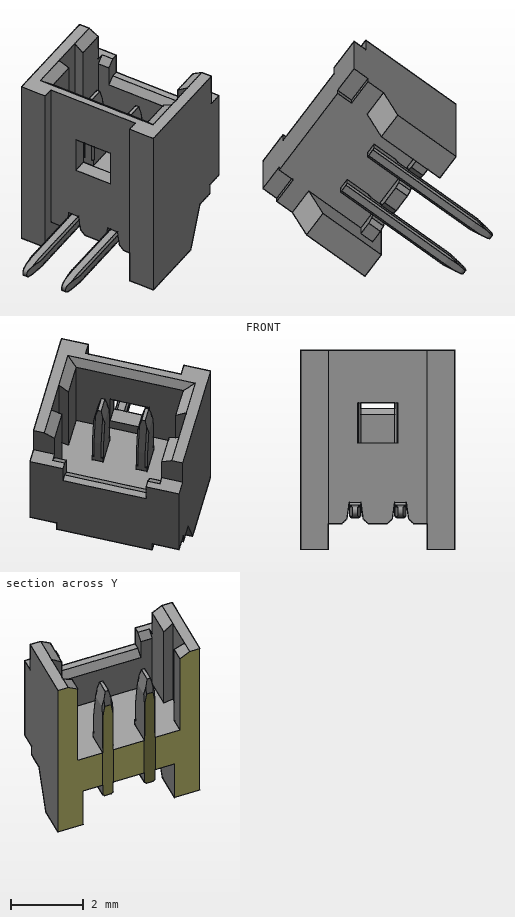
import cadquery as cq


WIDTH = 4.25
DEPTH = 3.5
OVERALL_DEPTH = 5.8
HEIGHT = 5.5
UNDERSIDE_Z = 1.3
PILLAR_WIDTH = 0.765
FRONT_RECESS = 0.3
SHOULDER_Z = 4.505
BACK_WALL = 0.4
LEG_SLOPE_TOP = 1.01
LEG_SLOPE_BOTTOM = 1.495
NOTCH_DEPTH = 0.475
NOTCH_HEIGHT = 0.32

FLOOR_Z = 2.57
CAVITY_WIDTH = 3.05
CAVITY_FRONT = 0.7
CAVITY_BACK = DEPTH - BACK_WALL
LEAD_IN_SIDE = 0.29
LEAD_IN_FRONT = 0.21
LEAD_IN_HEIGHT = 0.175
GROOVE_CENTER_Y = 1.91
GROOVE_MOUTH = 0.74
GROOVE_ROOT = 0.835
GAP_WIDTH = 2.365
GAP_Z = 3.89

WINDOW_WIDTH = 1.115
WINDOW_BOTTOM = 2.94
WINDOW_TOP = 4.05
SKIRT_Z = 0.71
SLOT_BEND_Z = 0.845
SLOT_BEND_WIDTH = 0.44
SLOT_MOUTH_WIDTH = 0.73

PITCH = 1.25
PIN_X = [-PITCH / 2, PITCH / 2]
PIN_WIDTH = 0.32
PIN_CHAMFER = 0.06
POST_FRONT = 1.085
POST_BACK = 1.825
POST_TOP = 4.83
POST_CHAMFER_Z = 2.75
POST_FRONT_TAPER_Z = 4.0
POST_BACK_TAPER_Z = 3.48
POST_TIP_FRONT = 1.21
POST_TIP_BACK = 1.62
POST_TIP_WIDTH = 0.1
POST_TIP_LENGTH = 0.52
LEG_BOTTOM = 0.87
LEG_TOP = 1.225
LEG_END = DEPTH - OVERALL_DEPTH
LEG_TIP_HEIGHT = 0.225
LEG_TIP_WIDTH = 0.13
LEG_TIP_RADIUS = 0.11
LEG_TIP_LENGTH = 0.61
BEND_RADIUS = UNDERSIDE_Z - LEG_TOP
BEND_FRONT = POST_FRONT - BEND_RADIUS


def block(x_range, y_range, z_range):
    """Axis-aligned box given by its limits."""
    size = [high - low for low, high in (x_range, y_range, z_range)]
    corner = (x_range[0], y_range[0], z_range[0])
    return cq.Workplane("XY").box(*size, centered=False).translate(corner)


def centered_prism_yz(points, width):
    """Prism of a (Y, Z) outline, centered on X = 0."""
    return cq.Workplane("YZ").polyline(points).close().extrude(width / 2, both=True)


def make_shell():
    """Solid outside shape with the feet, front recess and back corner notches."""
    side_outline = [
        (0, 0),
        (DEPTH - LEG_SLOPE_BOTTOM, 0),
        (DEPTH - LEG_SLOPE_TOP, UNDERSIDE_Z),
        (DEPTH, UNDERSIDE_Z),
        (DEPTH, SHOULDER_Z),
        (CAVITY_BACK, SHOULDER_Z),
        (CAVITY_BACK, HEIGHT),
        (0, HEIGHT),
    ]
    shell = centered_prism_yz(side_outline, WIDTH)

    half_span = WIDTH / 2 - PILLAR_WIDTH
    between_pillars = (-half_span, half_span)
    shell = shell.cut(block(between_pillars, (0, FRONT_RECESS), (0, HEIGHT)))
    shell = shell.cut(block(between_pillars, (FRONT_RECESS, CAVITY_FRONT), (0, SKIRT_Z)))
    shell = shell.cut(block(between_pillars, (CAVITY_FRONT, DEPTH), (0, UNDERSIDE_Z)))

    notch_y = (DEPTH - NOTCH_DEPTH, DEPTH)
    notch_z = (UNDERSIDE_Z, UNDERSIDE_Z + NOTCH_HEIGHT)
    for notch_x in ((-WIDTH / 2, -half_span), (half_span, WIDTH / 2)):
        shell = shell.cut(block(notch_x, notch_y, notch_z))
    return shell


def make_cavity():
    """Cavity with its lead-in along the sides and the front, and the two side grooves."""
    half = CAVITY_WIDTH / 2
    outer = half + LEAD_IN_SIDE
    cavity = block((-half, half), (CAVITY_FRONT, CAVITY_BACK), (FLOOR_Z, HEIGHT))

    lead_in_length = CAVITY_BACK - CAVITY_FRONT
    lead_in = (
        cq.Workplane("XY", origin=(0, CAVITY_BACK, HEIGHT - LEAD_IN_HEIGHT))
        .rect(2 * half, 2 * lead_in_length)
        .workplane(offset=LEAD_IN_HEIGHT)
        .rect(2 * outer, 2 * (lead_in_length + LEAD_IN_FRONT))
        .loft(ruled=True)
    )

    groove_outline = [
        (0, -GROOVE_MOUTH / 2),
        (half, -GROOVE_MOUTH / 2),
        (outer, -GROOVE_ROOT / 2),
        (outer, GROOVE_ROOT / 2),
        (half, GROOVE_MOUTH / 2),
        (0, GROOVE_MOUTH / 2),
    ]
    groove = (
        cq.Workplane("XY", origin=(0, GROOVE_CENTER_Y, FLOOR_Z))
        .polyline(groove_outline)
        .close()
        .extrude(HEIGHT - FLOOR_Z)
    )
    return cavity.union(lead_in).union(groove).union(groove.mirror("YZ"))


def make_back_gap():
    """Lowered middle of the back wall and the lead-ins along both levels of its top."""
    half_gap = GAP_WIDTH / 2
    gap = block((-half_gap, half_gap), (CAVITY_BACK, DEPTH), (GAP_Z, HEIGHT))
    for top_z, width in ((SHOULDER_Z, CAVITY_WIDTH), (GAP_Z, GAP_WIDTH)):
        lead_in_outline = [
            (CAVITY_BACK, top_z - LEAD_IN_HEIGHT),
            (CAVITY_BACK + LEAD_IN_FRONT, top_z),
            (CAVITY_BACK, top_z),
        ]
        gap = gap.union(centered_prism_yz(lead_in_outline, width))
    return gap


def make_window():
    half = WINDOW_WIDTH / 2
    return block((-half, half), (FRONT_RECESS, CAVITY_FRONT), (WINDOW_BOTTOM, WINDOW_TOP))


def make_pin_passage():
    """Post hole in the floor and flared leg slot in the front wall, around X = 0."""
    half = PIN_WIDTH / 2
    passage = block((-half, half), (POST_FRONT, POST_BACK), (UNDERSIDE_Z, FLOOR_Z))
    slot_outline = [
        (-half, UNDERSIDE_Z),
        (half, UNDERSIDE_Z),
        (SLOT_BEND_WIDTH / 2, SLOT_BEND_Z),
        (SLOT_MOUTH_WIDTH / 2, SKIRT_Z),
        (-SLOT_MOUTH_WIDTH / 2, SKIRT_Z),
        (-SLOT_BEND_WIDTH / 2, SLOT_BEND_Z),
    ]
    slot = (
        cq.Workplane("XZ", origin=(0, CAVITY_FRONT, 0))
        .polyline(slot_outline)
        .close()
        .extrude(CAVITY_FRONT - FRONT_RECESS)
    )
    return passage.union(slot)


def make_housing():
    housing = make_shell().cut(make_cavity()).cut(make_back_gap()).cut(make_window())
    for x in PIN_X:
        housing = housing.cut(make_pin_passage().translate((x, 0, 0)))
    return housing.solids()


def tip_outline(root, shoulder, tip, tip_width):
    """Half-tapered blade outline as (X, length) points."""
    half = PIN_WIDTH / 2
    return [
        (-half, root),
        (-half, shoulder),
        (-tip_width / 2, tip),
        (tip_width / 2, tip),
        (half, shoulder),
        (half, root),
    ]


def make_post():
    """Chamfered upper part of the post with its tapered tip."""
    profile = [
        (POST_FRONT, POST_CHAMFER_Z),
        (POST_FRONT, POST_FRONT_TAPER_Z),
        (POST_TIP_FRONT, POST_TOP),
        (POST_TIP_BACK, POST_TOP),
        (POST_BACK, POST_BACK_TAPER_Z),
        (POST_BACK, POST_CHAMFER_Z),
    ]
    post = centered_prism_yz(profile, PIN_WIDTH).edges("not(|X or |Y)").chamfer(PIN_CHAMFER)
    outline = tip_outline(POST_CHAMFER_Z, POST_TOP - POST_TIP_LENGTH, POST_TOP, POST_TIP_WIDTH)
    blade = cq.Workplane("XZ").polyline(outline).close().extrude(-DEPTH)
    return post.intersect(blade)


def make_leg():
    """Chamfered front part of the leg with its tapered, rounded tip."""
    taper_y = LEG_END + LEG_TIP_LENGTH
    middle_z = (LEG_BOTTOM + LEG_TOP) / 2
    profile = [
        (BEND_FRONT, LEG_BOTTOM),
        (taper_y, LEG_BOTTOM),
        (LEG_END, middle_z - LEG_TIP_HEIGHT / 2),
        (LEG_END, middle_z + LEG_TIP_HEIGHT / 2),
        (taper_y, LEG_TOP),
        (BEND_FRONT, LEG_TOP),
    ]
    leg = centered_prism_yz(profile, PIN_WIDTH).edges("not(|X or |Z)").chamfer(PIN_CHAMFER)
    outline = tip_outline(BEND_FRONT, taper_y, LEG_END, LEG_TIP_WIDTH)
    blade = cq.Workplane("XY").polyline(outline).close().extrude(HEIGHT)
    leg = leg.intersect(blade)
    return leg.faces("<Y").edges("|X").fillet(LEG_TIP_RADIUS)


def make_pin(x):
    """L-shaped pin: a plain bend joins the upright post to the forward leg."""
    bend = (
        cq.Workplane("YZ")
        .moveTo(BEND_FRONT, LEG_BOTTOM)
        .lineTo(POST_BACK, LEG_BOTTOM)
        .lineTo(POST_BACK, POST_CHAMFER_Z)
        .lineTo(POST_FRONT, POST_CHAMFER_Z)
        .lineTo(POST_FRONT, LEG_TOP + BEND_RADIUS)
        .radiusArc((BEND_FRONT, LEG_TOP), BEND_RADIUS)
        .close()
        .extrude(PIN_WIDTH / 2, both=True)
    )
    bend = bend.faces("<Z").edges("|Y").chamfer(PIN_CHAMFER)
    return bend.union(make_post()).union(make_leg()).translate((x, 0, 0)).solids()


housing = make_housing()
pins = [make_pin(x) for x in PIN_X]
result = cq.Compound.makeCompound([housing.val(), *[pin.val() for pin in pins]])